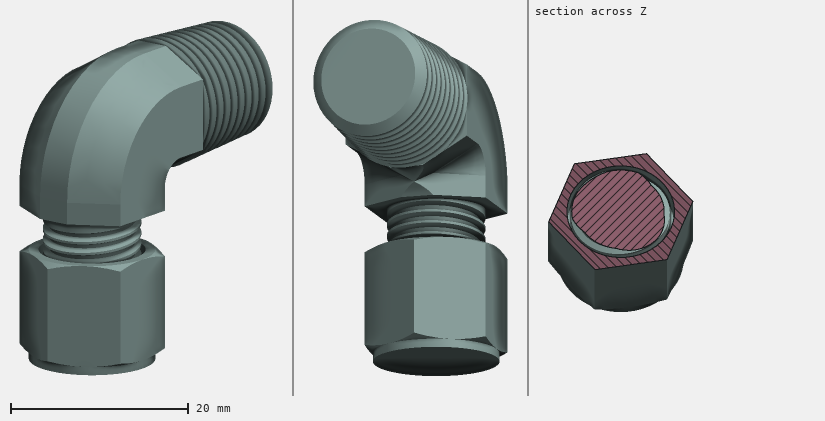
import cadquery as cq
import math


overall_height = 34.65

across_flats = 14.27
half_flats = across_flats / 2
half_corners = across_flats / math.sqrt(3)

pipe_arm_end = 11.2
neck_arm_end = 9.65
bend_radius = half_flats

pipe_turns = 10
pipe_ridged_length = 14.1
pipe_pitch = pipe_ridged_length / pipe_turns
pipe_end = 25.4
pipe_end_root_radius = 5.55
pipe_largest_radius = 14.93 / 2
pipe_taper = 0.06

neck_radius = 5.55
neck_pitch = 3.8 / 3
neck_groove_count = 7
neck_groove_depth = 0.62
neck_groove_mouth = 0.97
neck_groove_root = 0.45
neck_first_groove = 1.35
neck_groove_tilt = math.degrees(math.atan2(neck_pitch, 2 * neck_radius))

nut_top = -14.45
nut_hex_height = 11.78
nut_bottom = pipe_largest_radius - overall_height
nut_collar_height = nut_top - nut_hex_height - nut_bottom
nut_corner_drop = 0.52
nut_bore_radius = 6.03
nut_bore_depth = 5.55


def hexagon_section(plane, inner_tip):
    """Elbow section about an arm's axis: hexagon flats at +-X, outer corner (-Y) cut flat.

    The inner corner (+Y) is pointed if inner_tip is true and otherwise cut flat as well.
    """
    half_side = half_corners / 2
    half_cut = (half_corners - half_flats) * math.sqrt(3)
    inner = [(0, half_corners)] if inner_tip else [(half_cut, half_flats), (-half_cut, half_flats)]
    outline = [
        (-half_cut, -half_flats),
        (half_cut, -half_flats),
        (half_flats, -half_side),
        (half_flats, half_side),
        *inner,
        (-half_flats, half_side),
        (-half_flats, -half_side),
    ]
    return cq.Workplane(plane).polyline(outline).close()


def make_elbow_block():
    neck_plane = cq.Plane(origin=(0, 0, -bend_radius), xDir=(1, 0, 0), normal=(0, 0, 1))
    pipe_plane = cq.Plane(origin=(0, bend_radius, 0), xDir=(1, 0, 0), normal=(0, 1, 0))
    neck_arm = hexagon_section(neck_plane, True).extrude(bend_radius - neck_arm_end)
    pipe_arm = hexagon_section(pipe_plane, True).extrude(pipe_arm_end - bend_radius)
    bend = hexagon_section(neck_plane, False).revolve(
        90, (0.35, bend_radius, 0), (-0.35, bend_radius, 0)
    )
    return neck_arm.union(bend).union(pipe_arm).cut(make_inner_relief())


def make_inner_relief():
    """Cylinder along X that hollows the inner corner.

    It is tangent to the pipe arm's inner flat at the pipe shoulder and runs out at the neck shoulder.
    """
    length = pipe_arm_end - bend_radius
    height = neck_arm_end - bend_radius
    radius = (length**2 + height**2) / (2 * height)
    return (
        cq.Workplane("YZ")
        .center(pipe_arm_end, -bend_radius - radius)
        .circle(radius)
        .extrude(half_flats, both=True)
    )


def make_pipe_thread():
    """Sharp annular ridges whose crests and roots grow towards the elbow."""
    radius_step = pipe_taper * pipe_pitch
    end_crest_radius = pipe_largest_radius - (pipe_turns - 1) * radius_step
    outline = [(0, pipe_end), (pipe_end_root_radius, pipe_end)]
    for turn in range(pipe_turns):
        ridge_start = pipe_end - turn * pipe_pitch
        outline.append((end_crest_radius + turn * radius_step, ridge_start - pipe_pitch / 2))
        outline.append((pipe_end_root_radius + (turn + 1) * radius_step, ridge_start - pipe_pitch))
    last_root_radius = outline[-1][0]
    outline += [(last_root_radius, pipe_arm_end), (0, pipe_arm_end)]
    return cq.Workplane("XY").polyline(outline).close().revolve(360, (0, 0), (0, 1))


def make_neck_groove():
    """Ring with a trapezoidal section about the Z axis, tilted so that its -Y side is lower."""
    clearance = 0.35
    root_radius = neck_radius - neck_groove_depth
    flank_slope = (neck_groove_mouth - neck_groove_root) / 2 / neck_groove_depth
    half_root = neck_groove_root / 2
    half_outer = neck_groove_mouth / 2 + clearance * flank_slope
    outline = [
        (root_radius, -half_root),
        (neck_radius + clearance, -half_outer),
        (neck_radius + clearance, half_outer),
        (root_radius, half_root),
    ]
    ring = cq.Workplane("XZ").polyline(outline).close().revolve(360, (0, 0), (0, 1))
    return ring.rotate((0, 0, 0), (1, 0, 0), neck_groove_tilt)


def make_neck():
    neck_length = nut_bore_depth - nut_top - neck_arm_end
    neck = cq.Workplane("XY").workplane(offset=-neck_arm_end).circle(neck_radius).extrude(-neck_length)
    groove = make_neck_groove()
    for index in range(neck_groove_count):
        groove_z = -neck_arm_end - neck_first_groove - index * neck_pitch
        neck = neck.cut(groove.translate((0, 0, groove_z)))
    return neck


def make_elbow():
    return make_elbow_block().union(make_pipe_thread()).union(make_neck())


def make_nut():
    hex_bottom = nut_top - nut_hex_height
    hexagon = (
        cq.Workplane("XY", origin=(0, 0, nut_top))
        .polygon(6, 2 * half_corners)
        .extrude(-nut_hex_height)
        .rotate((0, 0, 0), (0, 0, 1), 30)
    )
    envelope_outline = [
        (0, nut_top),
        (half_flats, nut_top),
        (half_corners, nut_top - nut_corner_drop),
        (half_corners, hex_bottom + nut_corner_drop),
        (half_flats, hex_bottom),
        (0, hex_bottom),
    ]
    envelope = cq.Workplane("XZ").polyline(envelope_outline).close().revolve(360, (0, 0), (0, 1))
    collar = cq.Workplane("XY", origin=(0, 0, nut_bottom)).circle(half_flats).extrude(nut_collar_height)
    bore = cq.Workplane("XY", origin=(0, 0, nut_top)).circle(nut_bore_radius).extrude(-nut_bore_depth)
    return hexagon.intersect(envelope).union(collar).cut(bore)


elbow = make_elbow().solids()
nut = make_nut().solids()

result = cq.Compound.makeCompound([elbow.val(), nut.val()])